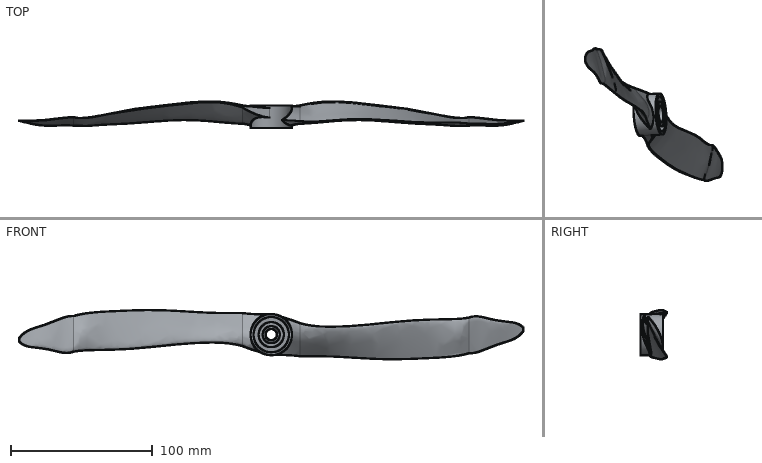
import cadquery as cq
import math

SPAN = 355.5
TIP = SPAN / 2

HUB_RADIUS = 14.5
HUB_LENGTH = 16.0
GROOVE_OUTER_RADIUS = 12.5
GROOVE_INNER_RADIUS = 9.0
GROOVE_DEPTH = 10.5
COUNTERBORE_RADIUS = 6.0
COUNTERBORE_DEPTH = 5.5
BORE_RADIUS = 4.0

CREST_PLACE = 0.35

ROOT_END = (20.3, (5.0, -8.2), (16.0, 15.3), 5.0, 1.5, 2.0)
TIP_START = (139.5, (3.2, -12.0), (8.0, 13.0), 2.0, 0.5, 0.0)
ROOT_SECTIONS = [
    (0.0, (6.5, -14.2), (14.0, 14.5), 8.2, 6.8, 4.5),
    (12.5, (5.5, -11.0), (15.0, 14.5), 7.0, 4.5, 4.3),
    ROOT_END,
]
MIDDLE_SECTIONS = [
    ROOT_END,
    (32.0, (4.5, -6.0), (18.0, 15.3), 4.0, 0.7, 0.0),
    (46.2, (5.7, -5.7), (19.0, 15.5), 3.0, 0.7, 0.0),
    (64.0, (6.5, -6.8), (17.5, 16.7), 3.0, 0.7, 0.0),
    (85.5, (5.5, -9.0), (15.0, 17.5), 2.5, 0.7, 0.0),
    (110.2, (4.0, -10.5), (11.0, 16.7), 2.0, 0.5, 0.0),
    TIP_START,
]
TIP_SECTIONS = [
    TIP_START,
    (156.5, (3.0, -10.5), (6.0, 8.2), 1.8, 0.5, 0.0),
    (169.3, (4.0, -9.0), (5.5, 4.0), 1.0, 0.5, 0.0),
    (175.5, (5.0, -6.8), (5.5, 0.0), 0.5, 0.18, 0.0),
    (TIP, (5.5, -5.0), (5.5, -2.5), 0.18, 0.07, 0.0),
]


def blade_section(distance, leading, trailing, front_bulge, edge_thickness, back_bulge):
    """Airfoil wire in a plane across the blade that points to -X."""
    chord = math.dist(leading, trailing)
    along_y = (trailing[0] - leading[0]) / chord
    along_z = (trailing[1] - leading[1]) / chord

    def direction(along, out):
        """Vector with parts along the chord and out of the curved face."""
        return cq.Vector(0, along * along_y - out * along_z, along * along_z + out * along_y)

    def point(along, out):
        """Point placed from the leading edge."""
        return cq.Vector(-distance, leading[0], leading[1]) + direction(along, out)

    nose = point(0, 0)
    front_crest = point(CREST_PLACE * chord, front_bulge)
    back_corner = point(chord, 0)
    front_corner = back_corner - cq.Vector(0, edge_thickness, 0)
    curved_face = cq.Edge.makeSpline(
        [nose, front_crest, front_corner],
        tangents=[direction(0, 1), direction(1, 0), front_corner - front_crest],
    )
    trailing_edge = cq.Edge.makeLine(front_corner, back_corner)
    back_crest = point(CREST_PLACE * chord, -back_bulge)
    back_face = cq.Edge.makeSpline([back_corner, back_crest, nose])
    return cq.Wire.assembleEdges([curved_face, trailing_edge, back_face])


def loft_blade(sections):
    """Smooth stretch of blade through the given sections."""
    wires = [blade_section(*section) for section in sections]
    return cq.Workplane(cq.Solid.makeLoft(wires))


def hub_cylinder(radius, length):
    """Cylinder about the shaft axis that starts at the hub's front face."""
    return cq.Workplane("XZ").circle(radius).extrude(-length)


blade = (
    loft_blade(ROOT_SECTIONS)
    .union(loft_blade(MIDDLE_SECTIONS))
    .union(loft_blade(TIP_SECTIONS))
)
opposite_blade = blade.rotate((0, 0, 0), (0, 1, 0), 180)
groove = hub_cylinder(GROOVE_OUTER_RADIUS, GROOVE_DEPTH).cut(
    hub_cylinder(GROOVE_INNER_RADIUS, GROOVE_DEPTH)
)

result = (
    hub_cylinder(HUB_RADIUS, HUB_LENGTH)
    .union(blade)
    .union(opposite_blade)
    .cut(groove)
    .cut(hub_cylinder(COUNTERBORE_RADIUS, COUNTERBORE_DEPTH))
    .cut(hub_cylinder(BORE_RADIUS, HUB_LENGTH))
)